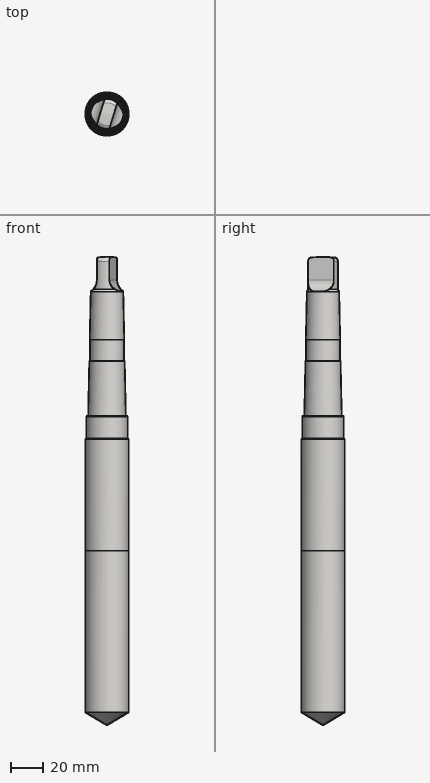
import cadquery as cq
import math

overall_length = 291.0
body_diameter = 27.0
point_angle = 118.0

joint_z = 108.3
collar_bottom_z = 178.0
collar_top_z = 192.0
band_bottom_z = 226.5
band_top_z = 239.5
taper_top_z = 269.2
shoulder_top_z = 270.5

collar_diameter = 26.0
collar_chamfer = 0.45
taper_large_diameter = 23.5
taper_small_diameter = 20.5
band_diameter = 21.2
tang_diameter = 18.5

tang_thickness = 8.1
tang_flat_z = 276.7
tang_runout_radius = 7.5
tang_turn = -17.0
tang_corner_radius = 2.3
tang_crown_height = 0.5

body_radius = body_diameter / 2
point_height = body_radius / math.tan(math.radians(point_angle / 2))


def taper_radius(z):
    """Radius of the shank cone at height z."""
    fraction = (z - collar_top_z) / (taper_top_z - collar_top_z)
    return (taper_large_diameter + fraction * (taper_small_diameter - taper_large_diameter)) / 2


def revolve_profile(points):
    """Solid of revolution about Z from (radius, height) points."""
    return cq.Workplane("XZ").polyline(points).close().revolve(360, (0, 0), (0, 1))


def make_cutting_end():
    """Cylindrical drill end with a conical point."""
    return revolve_profile([
        (0, 0),
        (body_radius, point_height),
        (body_radius, joint_z),
        (0, joint_z),
    ])


def tang_side_cutter():
    """Prism that leaves one tang flat, with a concave run-out at its foot."""
    flat_x = tang_thickness / 2
    arc_center_x = flat_x + tang_runout_radius
    arc_step = tang_runout_radius * math.sqrt(0.5)
    return (
        cq.Workplane("XZ")
        .moveTo(flat_x, overall_length)
        .lineTo(flat_x, tang_flat_z)
        .threePointArc(
            (arc_center_x - arc_step, tang_flat_z - arc_step),
            (arc_center_x, tang_flat_z - tang_runout_radius),
        )
        .lineTo(body_diameter, tang_flat_z - tang_runout_radius)
        .lineTo(body_diameter, overall_length)
        .close()
        .extrude(body_radius, both=True)
    )


def make_shank():
    """Stepped body, collar and banded taper, ending in a flat tang."""
    band_radius = band_diameter / 2
    collar_radius = collar_diameter / 2
    tang_radius = tang_diameter / 2
    body_step = body_radius - collar_radius
    taper_edge_z = band_bottom_z - (taper_radius(band_bottom_z) - band_radius)
    shank = revolve_profile([
        (0, joint_z),
        (body_radius, joint_z),
        (body_radius, collar_bottom_z - body_step),
        (collar_radius, collar_bottom_z),
        (collar_radius, collar_top_z - collar_chamfer),
        (collar_radius - collar_chamfer, collar_top_z),
        (taper_radius(collar_top_z), collar_top_z),
        (taper_radius(taper_edge_z), taper_edge_z),
        (band_radius, band_bottom_z),
        (band_radius, band_top_z),
        (taper_radius(band_top_z), band_top_z),
        (taper_radius(taper_top_z), taper_top_z),
        (tang_radius, shoulder_top_z),
        (tang_radius, overall_length - tang_crown_height),
        (0, overall_length),
    ])
    rim = cq.selectors.BoxSelector(
        (-tang_radius, -tang_radius, overall_length - 2 * tang_crown_height),
        (tang_radius, tang_radius, overall_length - tang_crown_height / 2),
    )
    shank = shank.edges("%CIRCLE").edges(rim).fillet(tang_corner_radius)
    for side_angle in (0, 180):
        cutter = tang_side_cutter().rotate((0, 0, 0), (0, 0, 1), side_angle + tang_turn)
        shank = shank.cut(cutter)
    return shank


cutting_end = make_cutting_end()
shank = make_shank()

result = cq.Compound.makeCompound([cutting_end.val(), shank.val()])